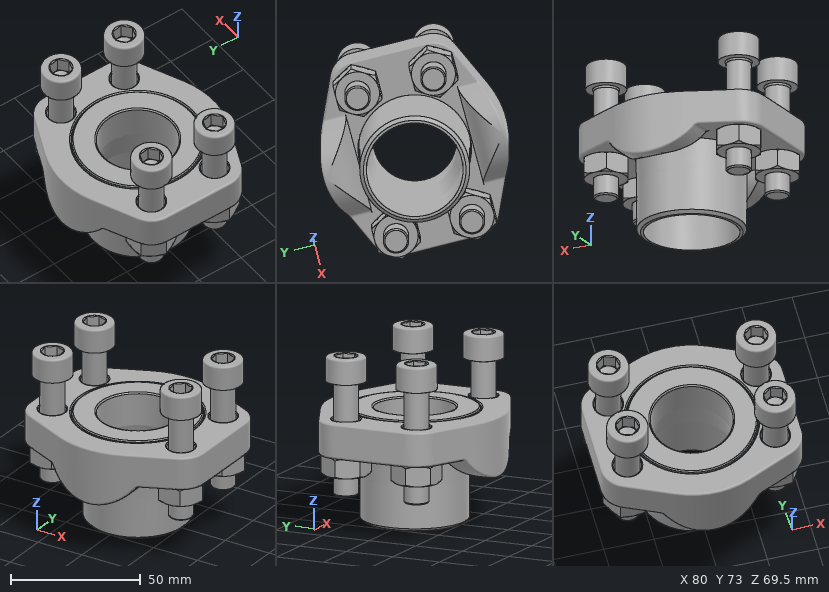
import cadquery as cq
import math

BOLT_X = 29.4
BOLT_Y = 15.1
BOLT_POINTS = [(sx * BOLT_X, sy * BOLT_Y) for sx in (-1, 1) for sy in (-1, 1)]

FLANGE_LENGTH = 80.0
LOBE_RADIUS = 36.5
CORNER_RADIUS = FLANGE_LENGTH / 2 - BOLT_X
FLANGE_THICKNESS = 13.9
FLANGE_EDGE_FILLET = 1.0
BELLY_DEPTH = 24.0
BELLY_RADIUS = 23.2
BELLY_ROOT_FILLET = 2.0
BOLT_HOLE_DIAMETER = 11.0
BOLT_HOLE_CHAMFER = 0.4
RECESS_DIAMETER = 51.6
RECESS_CHAMFER = 0.5
FLANGE_BORE = 43.7
RELIEF_RADIUS = 13.4

INSERT_TOP = 0.4
HEAD_DIAMETER = 50.8
HEAD_DEPTH = 8.0
HEAD_CHAMFER = 0.5
SHANK_DIAMETER = 43.0
PIPE_DIAMETER = 42.4
INSERT_BORE = 32.0
PIPE_BORE = 37.2
BORE_CHAMFER = 0.6
TAPER_TOP = 14.6
BORE_TAPER_TOP = 13.8
TAPER_BOTTOM = 26.5
INSERT_BOTTOM = 44.5
PIPE_CHAMFER_WIDTH = 1.4
PIPE_CHAMFER_HEIGHT = 1.2

SCREW_TOP = 25.0
SCREW_HEAD_DIAMETER = 16.0
SCREW_HEAD_HEIGHT = 10.0
SCREW_HEAD_FILLET = 1.0
SCREW_DIAMETER = 9.8
SCREW_LENGTH = 45.0
SCREW_TIP_CHAMFER = 0.6
COLLAR_DIAMETER = 10.5
COLLAR_HEIGHT = 0.8
SOCKET_ACROSS_FLATS = 8.0
SOCKET_DEPTH = 6.0
SOCKET_TURN = 40.0
SOCKET_CONE_ANGLE = 30.0

NUT_ACROSS_FLATS = 17.0
NUT_HEIGHT = 8.0
NUT_CHAMFER_ANGLE = 30.0


def corner_diameter(across_flats):
    """Diameter of the circle through the corners of a hexagon."""
    return across_flats / math.cos(math.pi / 6)


def flange_outline():
    """Rounded hexagonal outline: lobe arcs joined to corner arcs by common tangent lines."""
    bolt_reach = math.hypot(BOLT_X, BOLT_Y)
    tangent = math.atan2(BOLT_X, BOLT_Y) - math.acos((LOBE_RADIUS - CORNER_RADIUS) / bolt_reach)
    mid_corner = (tangent + math.pi / 2) / 2

    def lobe_point(sx, sy):
        return (sx * LOBE_RADIUS * math.sin(tangent), sy * LOBE_RADIUS * math.cos(tangent))

    def corner_point(sx, sy, angle):
        return (
            sx * (BOLT_X + CORNER_RADIUS * math.sin(angle)),
            sy * (BOLT_Y + CORNER_RADIUS * math.cos(angle)),
        )

    half = FLANGE_LENGTH / 2
    return (
        cq.Workplane("XY")
        .moveTo(*lobe_point(-1, 1))
        .threePointArc((0, LOBE_RADIUS), lobe_point(1, 1))
        .lineTo(*corner_point(1, 1, tangent))
        .threePointArc(corner_point(1, 1, mid_corner), (half, BOLT_Y))
        .lineTo(half, -BOLT_Y)
        .threePointArc(corner_point(1, -1, mid_corner), corner_point(1, -1, tangent))
        .lineTo(*lobe_point(1, -1))
        .threePointArc((0, -LOBE_RADIUS), lobe_point(-1, -1))
        .lineTo(*corner_point(-1, -1, tangent))
        .threePointArc(corner_point(-1, -1, mid_corner), (-half, -BOLT_Y))
        .lineTo(-half, BOLT_Y)
        .threePointArc(corner_point(-1, 1, mid_corner), corner_point(-1, 1, tangent))
        .close()
    )


def flange_section():
    """Flat plate with a cylindrical belly along Y, before it is trimmed to the outline."""
    plate = (
        cq.Workplane("XY")
        .rect(FLANGE_LENGTH, 2 * LOBE_RADIUS)
        .extrude(-FLANGE_THICKNESS)
    )
    belly = (
        cq.Workplane("XZ", origin=(0, LOBE_RADIUS, BELLY_RADIUS - BELLY_DEPTH))
        .circle(BELLY_RADIUS)
        .extrude(2 * LOBE_RADIUS)
    )
    above_plate = (
        cq.Workplane("XY")
        .rect(FLANGE_LENGTH, 2 * LOBE_RADIUS)
        .extrude(2 * BELLY_RADIUS)
    )
    section = plate.union(belly).cut(above_plate)
    roots = section.edges("|Y").edges("not(<X or >X)")
    return roots.fillet(BELLY_ROOT_FILLET)


def belly_relief():
    """Material under the plate between the lobes, which end in quarter rounds towards the middle."""
    inner = FLANGE_BORE / 2
    outer = inner + RELIEF_RADIUS
    round_center_z = RELIEF_RADIUS - BELLY_DEPTH
    middle = outer - RELIEF_RADIUS * math.sqrt(0.5)
    middle_z = round_center_z - RELIEF_RADIUS * math.sqrt(0.5)
    profile = (
        cq.Workplane("YZ")
        .moveTo(-outer, -BELLY_DEPTH)
        .threePointArc((-middle, middle_z), (-inner, round_center_z))
        .lineTo(inner, round_center_z)
        .threePointArc((middle, middle_z), (outer, -BELLY_DEPTH))
        .close()
        .extrude(BELLY_RADIUS, both=True)
    )
    below_plate = (
        cq.Workplane("XY", origin=(0, 0, -FLANGE_THICKNESS))
        .rect(2 * BELLY_RADIUS, 2 * LOBE_RADIUS)
        .extrude(-BELLY_DEPTH)
    )
    return profile.intersect(below_plate)


def flange_bore():
    """Through bore with a chamfered recess for the head of the insert."""
    recess = RECESS_DIAMETER / 2
    bore = FLANGE_BORE / 2
    return (
        cq.Workplane("XZ")
        .lineTo(recess + RECESS_CHAMFER, 0)
        .lineTo(recess, -RECESS_CHAMFER)
        .lineTo(recess, -HEAD_DEPTH)
        .lineTo(bore, -HEAD_DEPTH)
        .lineTo(bore, -BELLY_DEPTH)
        .lineTo(0, -BELLY_DEPTH)
        .close()
        .revolve(360, (0, 0, 0), (0, 1, 0))
    )


def bolt_hole(x, y):
    """Clearance hole with a chamfered mouth at the top."""
    hole = BOLT_HOLE_DIAMETER / 2
    return (
        cq.Workplane("XZ")
        .lineTo(hole + BOLT_HOLE_CHAMFER, 0)
        .lineTo(hole, -BOLT_HOLE_CHAMFER)
        .lineTo(hole, -FLANGE_THICKNESS)
        .lineTo(0, -FLANGE_THICKNESS)
        .close()
        .revolve(360, (0, 0, 0), (0, 1, 0))
        .translate((x, y, 0))
    )


def make_flange():
    """Flange plate with two lobes, a stepped bore and four bolt holes."""
    body = flange_section().intersect(flange_outline().extrude(-BELLY_DEPTH))
    rims = body.edges("(not (|Z or |Y)) or ((<X or >X) and |Y)")
    body = rims.fillet(FLANGE_EDGE_FILLET)
    body = body.cut(belly_relief()).cut(flange_bore())
    for x, y in BOLT_POINTS:
        body = body.cut(bolt_hole(x, y))
    return body


def make_insert():
    """Turned weld insert with a flat head, tapering inside and outside to the pipe size."""
    head = HEAD_DIAMETER / 2
    shank = SHANK_DIAMETER / 2
    pipe = PIPE_DIAMETER / 2
    bore = INSERT_BORE / 2
    pipe_bore = PIPE_BORE / 2
    return (
        cq.Workplane("XZ")
        .moveTo(bore + BORE_CHAMFER, INSERT_TOP)
        .lineTo(head - HEAD_CHAMFER, INSERT_TOP)
        .lineTo(head, INSERT_TOP - HEAD_CHAMFER)
        .lineTo(head, -HEAD_DEPTH)
        .lineTo(shank, -HEAD_DEPTH)
        .lineTo(shank, -TAPER_TOP)
        .lineTo(pipe, -TAPER_BOTTOM)
        .lineTo(pipe, PIPE_CHAMFER_HEIGHT - INSERT_BOTTOM)
        .lineTo(pipe - PIPE_CHAMFER_WIDTH, -INSERT_BOTTOM)
        .lineTo(pipe_bore, -INSERT_BOTTOM)
        .lineTo(pipe_bore, -TAPER_BOTTOM)
        .lineTo(bore, -BORE_TAPER_TOP)
        .lineTo(bore, INSERT_TOP - BORE_CHAMFER)
        .close()
        .revolve(360, (0, 0, 0), (0, 1, 0))
    )


def downward_cone(radius, angle, top):
    """Cone pointing down from a circle at height top, its wall sloping at angle."""
    depth = radius * math.tan(math.radians(angle))
    base_center = cq.Vector(0, 0, top)
    down = cq.Vector(0, 0, -1)
    return cq.Workplane(cq.Solid.makeCone(radius, 0, depth, base_center, down))


def screw_socket():
    """Hexagon socket with a countersunk mouth and a conical floor."""
    corner_circle = corner_diameter(SOCKET_ACROSS_FLATS)
    hexagon = (
        cq.Workplane("XY", origin=(0, 0, SCREW_TOP))
        .polygon(6, corner_circle)
        .extrude(-SOCKET_DEPTH)
        .rotate((0, 0, 0), (0, 0, 1), SOCKET_TURN)
    )
    floor = downward_cone(SOCKET_ACROSS_FLATS / 2, SOCKET_CONE_ANGLE, SCREW_TOP - SOCKET_DEPTH)
    mouth = downward_cone(corner_circle / 2, SOCKET_CONE_ANGLE, SCREW_TOP)
    return hexagon.union(floor).union(mouth)


def make_screw(x, y):
    """Socket head cap screw, pulled up so that its head stands clear of the flange."""
    head = SCREW_HEAD_DIAMETER / 2
    shank = SCREW_DIAMETER / 2
    head_bottom = SCREW_TOP - SCREW_HEAD_HEIGHT
    tip = head_bottom - SCREW_LENGTH
    blank = (
        cq.Workplane("XZ")
        .moveTo(0, SCREW_TOP)
        .lineTo(head, SCREW_TOP)
        .lineTo(head, head_bottom)
        .lineTo(COLLAR_DIAMETER / 2, head_bottom)
        .lineTo(shank, head_bottom - COLLAR_HEIGHT)
        .lineTo(shank, tip + SCREW_TIP_CHAMFER)
        .lineTo(shank - SCREW_TIP_CHAMFER, tip)
        .lineTo(0, tip)
        .close()
        .revolve(360, (0, 0, 0), (0, 1, 0))
    )
    blank = blank.faces(">Z").edges().fillet(SCREW_HEAD_FILLET)
    return blank.cut(screw_socket()).translate((x, y, 0))


def make_nut(x, y):
    """Hex nut under the flange, corners pointing along X and chamfered at both ends."""
    corner = corner_diameter(NUT_ACROSS_FLATS) / 2
    flat = NUT_ACROSS_FLATS / 2
    chamfer_height = (corner - flat) * math.tan(math.radians(NUT_CHAMFER_ANGLE))
    prism = cq.Workplane("XY").polygon(6, 2 * corner).extrude(-NUT_HEIGHT)
    chamfered_disc = (
        cq.Workplane("XZ")
        .moveTo(SCREW_DIAMETER / 2, 0)
        .lineTo(flat, 0)
        .lineTo(corner, -chamfer_height)
        .lineTo(corner, chamfer_height - NUT_HEIGHT)
        .lineTo(flat, -NUT_HEIGHT)
        .lineTo(SCREW_DIAMETER / 2, -NUT_HEIGHT)
        .close()
        .revolve(360, (0, 0, 0), (0, 1, 0))
    )
    return prism.intersect(chamfered_disc).translate((x, y, -FLANGE_THICKNESS))


flange = make_flange()
insert = make_insert()
screws = [make_screw(x, y) for x, y in BOLT_POINTS]
nuts = [make_nut(x, y) for x, y in BOLT_POINTS]

result = cq.Compound.makeCompound(
    [flange.val(), insert.val()]
    + [screw.val() for screw in screws]
    + [nut.val() for nut in nuts]
)